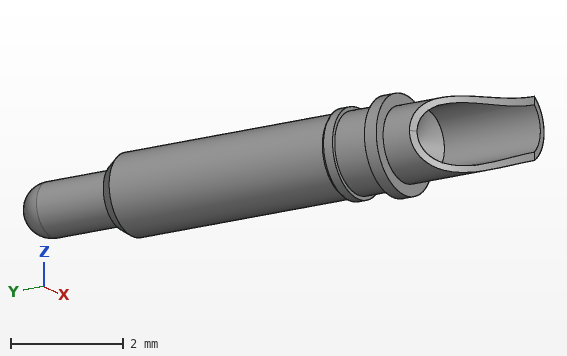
import cadquery as cq
import math

LENGTH = 10.5
TIP_Y = LENGTH / 2

PLUNGER_RADIUS = 0.51

BARREL_AT = 2.01
BARREL_RADIUS = 0.78
MOUTH_RADIUS = 0.63
MOUTH_LENGTH = 0.22

RING_AT = 6.75
RING_LENGTH = 0.26
RING_RADIUS = 0.85
RING_CHAMFER = RING_RADIUS - BARREL_RADIUS

FLANGE_AT = 7.75
FLANGE_LENGTH = 0.25
FLANGE_RADIUS = 1.88 / 2

CUP_RADIUS = 0.71
BORE_RADIUS = 0.59
BORE_AT = 8.46
DRILL_POINT_ANGLE = 118.0
SCOOP_RADIUS = 2.26
SCOOP_EDGE_X = 0.39


def along(distance):
    """Y coordinate at a distance from the contact tip."""
    return TIP_Y - distance


def make_body():
    ring_end = RING_AT + RING_LENGTH
    flange_end = FLANGE_AT + FLANGE_LENGTH
    mouth_end = BARREL_AT + MOUTH_LENGTH
    dome_offset = PLUNGER_RADIUS * math.sqrt(0.5)
    dome_middle = (dome_offset, along(PLUNGER_RADIUS - dome_offset))
    dome_end = (PLUNGER_RADIUS, along(PLUNGER_RADIUS))
    profile = (
        cq.Workplane("XY")
        .moveTo(0, along(0))
        .threePointArc(dome_middle, dome_end)
        .lineTo(PLUNGER_RADIUS, along(BARREL_AT))
        .lineTo(MOUTH_RADIUS, along(BARREL_AT))
        .lineTo(BARREL_RADIUS, along(mouth_end))
        .lineTo(BARREL_RADIUS, along(RING_AT))
        .lineTo(RING_RADIUS, along(RING_AT + RING_CHAMFER))
        .lineTo(RING_RADIUS, along(ring_end))
        .lineTo(BARREL_RADIUS, along(ring_end))
        .lineTo(BARREL_RADIUS, along(FLANGE_AT))
        .lineTo(FLANGE_RADIUS, along(FLANGE_AT))
        .lineTo(FLANGE_RADIUS, along(flange_end))
        .lineTo(CUP_RADIUS, along(flange_end))
        .lineTo(CUP_RADIUS, along(LENGTH))
        .lineTo(0, along(LENGTH))
        .close()
    )
    return profile.revolve(360, (0, 0), (0, 1))


def make_bore():
    """Drilled cup bore ending in a conical drill point."""
    point_depth = BORE_RADIUS / math.tan(math.radians(DRILL_POINT_ANGLE / 2))
    profile = (
        cq.Workplane("XY")
        .moveTo(0, along(LENGTH))
        .lineTo(BORE_RADIUS, along(LENGTH))
        .lineTo(BORE_RADIUS, along(BORE_AT))
        .lineTo(0, along(BORE_AT - point_depth))
        .close()
    )
    return profile.revolve(360, (0, 0), (0, 1))


def make_scoop():
    """Cylinder along Z that cuts the -X side of the cup open and runs parallel to Y at the cup end."""
    return (
        cq.Workplane("XY")
        .center(SCOOP_EDGE_X - SCOOP_RADIUS, along(LENGTH))
        .circle(SCOOP_RADIUS)
        .extrude(FLANGE_RADIUS, both=True)
    )


result = make_body().cut(make_bore()).cut(make_scoop())